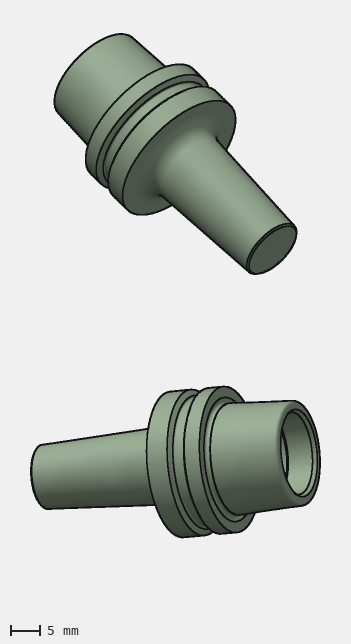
import cadquery as cq
import math


total_length = 47.9
shank_taper_end = 11.9
shank_land_end = 12.2
neck_start = 12.35
flange_start = 12.95
flange_end = 22.85
groove_center = 17.4
nose_root = 25.75

shank_tip_radius = 9.0
shank_root_radius = 9.6
shank_tip_rounding = 0.57
neck_radius = 9.45

relief_outer_radius = 10.65
relief_corner_radius = 0.5
relief_face_angle = math.radians(23)

flange_radius = 12.5
groove_floor_radius = 11.0
groove_floor_width = 2.0
groove_wall_height = 0.45
groove_flank_angle = math.radians(30)
groove_corner_rounding = 0.25
groove_overcut = 0.5

nose_tip_radius = 5.5
nose_taper_angle = math.radians(3)
nose_tip_chamfer = 0.3

bore_mouth_radius = 7.45
bore_radius = 7.05
bore_chamfer_length = 0.7
chamber_start = 5.25
chamber_radius = 7.5
chamber_step_length = 0.5
chamber_floor = 10.7
chamber_floor_rounding = 0.8


def arc_point(center, radius, angle):
    """Point on a circle, with the angle counted from +X towards the outside."""
    return (center[0] + radius * math.cos(angle), center[1] + radius * math.sin(angle))


def revolve_about_x(profile):
    """Close a half profile onto the X axis and turn it into a solid."""
    return profile.close().revolve(360, (0, 0, 0), (1, 0, 0))


def make_body():
    relief_center_y = neck_radius + relief_corner_radius
    face_rise = relief_outer_radius - relief_center_y
    relief_center_x = (
        flange_start
        + face_rise * math.tan(relief_face_angle)
        - relief_corner_radius / math.cos(relief_face_angle)
    )
    relief_center = (relief_center_x, relief_center_y)
    relief_mid_angle = (relief_face_angle - math.pi / 2) / 2

    nose_root_radius = nose_tip_radius + (total_length - nose_root) * math.tan(nose_taper_angle)
    root_fillet = (nose_root - flange_end) / (1 - math.sin(nose_taper_angle))
    root_center = (
        flange_end + root_fillet,
        nose_root_radius + root_fillet * math.cos(nose_taper_angle),
    )
    root_end_angle = 1.5 * math.pi - nose_taper_angle
    root_mid_angle = (math.pi + root_end_angle) / 2

    profile = (
        cq.Workplane("XY")
        .lineTo(0, shank_tip_radius)
        .lineTo(shank_taper_end, shank_root_radius)
        .lineTo(shank_land_end, shank_root_radius)
        .lineTo(neck_start, neck_radius)
        .lineTo(relief_center_x, neck_radius)
        .threePointArc(
            arc_point(relief_center, relief_corner_radius, relief_mid_angle),
            arc_point(relief_center, relief_corner_radius, relief_face_angle),
        )
        .lineTo(flange_start, relief_outer_radius)
        .lineTo(flange_start, flange_radius)
        .lineTo(flange_end, flange_radius)
        .lineTo(flange_end, root_center[1])
        .threePointArc(
            arc_point(root_center, root_fillet, root_mid_angle),
            (nose_root, nose_root_radius),
        )
        .lineTo(total_length, nose_tip_radius)
        .lineTo(total_length, 0)
    )
    body = revolve_about_x(profile)
    body = body.faces("<X").edges().fillet(shank_tip_rounding)
    return body.faces(">X").edges().chamfer(nose_tip_chamfer)


def make_groove():
    wall_top_radius = groove_floor_radius + groove_wall_height
    flank_run = (flange_radius - wall_top_radius) * math.tan(groove_flank_angle)
    floor_half = groove_floor_width / 2
    mouth_half = floor_half + flank_run
    outside_radius = flange_radius + groove_overcut
    profile = (
        cq.Workplane("XY")
        .moveTo(groove_center - mouth_half, outside_radius)
        .lineTo(groove_center - mouth_half, flange_radius)
        .lineTo(groove_center - floor_half, wall_top_radius)
        .lineTo(groove_center - floor_half, groove_floor_radius)
        .lineTo(groove_center + floor_half, groove_floor_radius)
        .lineTo(groove_center + floor_half, wall_top_radius)
        .lineTo(groove_center + mouth_half, flange_radius)
        .lineTo(groove_center + mouth_half, outside_radius)
    )
    groove = revolve_about_x(profile)
    floor_edges = groove.edges(cq.selectors.RadiusNthSelector(0))
    return floor_edges.fillet(groove_corner_rounding)


def make_bore():
    profile = (
        cq.Workplane("XY")
        .lineTo(0, bore_mouth_radius)
        .lineTo(bore_chamfer_length, bore_radius)
        .lineTo(chamber_start, bore_radius)
        .lineTo(chamber_start + chamber_step_length, chamber_radius)
        .lineTo(chamber_floor, chamber_radius)
        .lineTo(chamber_floor, 0)
    )
    bore = revolve_about_x(profile)
    return bore.faces(">X").edges().fillet(chamber_floor_rounding)


result = make_body().cut(make_groove()).cut(make_bore())